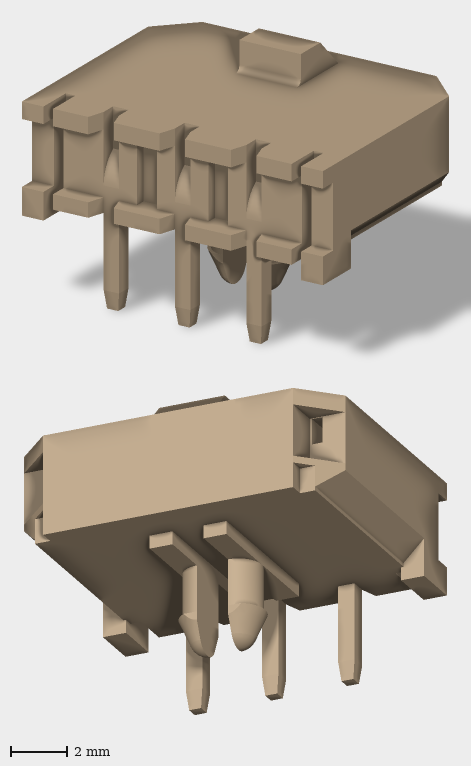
import cadquery as cq
import math


WIDTH = 12.65
DEPTH = 9.9
HALF_WIDTH = WIDTH / 2
CORNER = 1.4
BODY_BOTTOM = -3.87
TOP_FLANGE = 0.67
LOWER_FLANGE_TOP = -3.28
FRONT_FACE = 0.7

FOOT_WIDTH = 0.91
FOOT_DEPTH = 1.9
FOOT_BOTTOM = -4.38
SLOT_WIDTH = 0.4
SLOT_DEPTH = 1.5
CHANNEL_BOTTOM = -1.66

UNDERCUT = 0.81
UNDERCUT_TOP = -2.91

CORNER_RECESS_TOP = -0.65
CORNER_RECESS_BOTTOM = -2.65
CORNER_STEP = 0.6

LATCH_WIDTH = 2.58
LATCH_HEIGHT = 1.2
LATCH_FRONT = 6.58
LATCH_CREST = 7.89
LATCH_FILLET = 0.24

PITCH = 3.0
PIN_SIZE = 0.65
PIN_XS = [-PITCH, 0, PITCH]
PIN_BACK = FRONT_FACE + PIN_SIZE
PIN_TAPER_TOP = -6.83
PIN_BOTTOM = -7.55
PIN_TIP = 0.47
NOTCH_MOUTH = 1.08
BEND_TOP = -1.62
BEND_BOTTOM = -2.82

GROOVE_WIDTH = 0.82
GROOVE_DEPTH = 0.42

PEG_GAP = 1.23
PEG_RADIUS = 0.9
PEG_Y = 5.29
BARB_RADIUS = 1.04
BARB_TOP = -6.17
PEG_TIP_RADIUS = 0.66
PAD_FRONT = 2.16
PAD_BACK = 8.22


def block(x_range, y_range, z_range):
    """Box between the given limits on each axis."""
    (x0, x1), (y0, y1), (z0, z1) = x_range, y_range, z_range
    return cq.Workplane("XY").box(x1 - x0, y1 - y0, z1 - z0, centered=False).translate((x0, y0, z0))


def both_sides(shape):
    """The shape together with its mirror image across the YZ plane."""
    return shape.union(shape.mirror("YZ"))


def make_housing():
    housing = (
        block((-HALF_WIDTH, HALF_WIDTH), (0, DEPTH), (BODY_BOTTOM, 0))
        .edges("|Z and >Y").chamfer(CORNER)
    )
    foot = block((-HALF_WIDTH, FOOT_WIDTH - HALF_WIDTH), (0, FOOT_DEPTH), (FOOT_BOTTOM, 0))
    front_recess = block((-HALF_WIDTH, HALF_WIDTH), (0, FRONT_FACE), (LOWER_FLANGE_TOP, -TOP_FLANGE))
    return housing.union(both_sides(foot)).cut(front_recess)


def make_side_slots():
    """Full-height front slots, each with a channel running back to the rear corner recess."""
    slot_x = (FOOT_WIDTH - HALF_WIDTH, FOOT_WIDTH + SLOT_WIDTH - HALF_WIDTH)
    slot = block(slot_x, (0, SLOT_DEPTH), (BODY_BOTTOM, 0))
    channel = block(slot_x, (SLOT_DEPTH, DEPTH), (CHANNEL_BOTTOM, -TOP_FLANGE))
    return both_sides(slot.union(channel))


def make_undercuts():
    profile = (
        cq.Workplane("XZ", origin=(-HALF_WIDTH, 0, 0))
        .moveTo(0, UNDERCUT_TOP)
        .line(UNDERCUT, -UNDERCUT)
        .lineTo(UNDERCUT, BODY_BOTTOM)
        .lineTo(0, BODY_BOTTOM)
        .close()
    )
    undercut = profile.extrude(-(DEPTH - FOOT_DEPTH)).translate((0, FOOT_DEPTH, 0))
    return both_sides(undercut)


def make_corner_cutouts():
    corner_x = (-HALF_WIDTH, CORNER - HALF_WIDTH)
    recess = block(corner_x, (DEPTH - CORNER, DEPTH), (CORNER_RECESS_BOTTOM, CORNER_RECESS_TOP))
    step = block(corner_x, (DEPTH - CORNER_STEP, DEPTH), (BODY_BOTTOM, UNDERCUT_TOP))
    return both_sides(recess.union(step))


def make_grooves():
    groove_y = (FRONT_FACE, FRONT_FACE + GROOVE_DEPTH)
    groove = block(
        (PITCH / 2 - GROOVE_WIDTH / 2, PITCH / 2 + GROOVE_WIDTH / 2),
        groove_y,
        (LOWER_FLANGE_TOP, -TOP_FLANGE),
    )
    return both_sides(groove)


def make_pin_notch(x):
    """Pin slot through the full height, flared where it crosses the flanges."""
    half_mouth = NOTCH_MOUTH / 2
    half_pin = PIN_SIZE / 2
    outline = [
        (-half_mouth, 0),
        (-half_pin, FRONT_FACE),
        (-half_pin, PIN_BACK),
        (half_pin, PIN_BACK),
        (half_pin, FRONT_FACE),
        (half_mouth, 0),
    ]
    return cq.Workplane("XY").polyline(outline).close().extrude(BODY_BOTTOM).translate((x, 0, 0))


def make_pin(x):
    """Square pin with a rounded outer bend at the top and a tapered tip."""
    rise = BEND_TOP - BEND_BOTTOM
    bend_radius = (PIN_SIZE ** 2 + rise ** 2) / (2 * PIN_SIZE)
    half_angle = math.asin(rise / bend_radius) / 2
    bend_middle = (
        FRONT_FACE + bend_radius * (1 - math.cos(half_angle)),
        BEND_BOTTOM + bend_radius * math.sin(half_angle),
    )
    shank = (
        cq.Workplane("YZ")
        .moveTo(FRONT_FACE, PIN_TAPER_TOP)
        .lineTo(FRONT_FACE, BEND_BOTTOM)
        .threePointArc(bend_middle, (PIN_BACK, BEND_TOP))
        .lineTo(PIN_BACK, PIN_TAPER_TOP)
        .close()
        .extrude(PIN_SIZE / 2, both=True)
    )
    tip = (
        cq.Workplane("XY", origin=(0, FRONT_FACE + PIN_SIZE / 2, PIN_TAPER_TOP))
        .rect(PIN_SIZE, PIN_SIZE)
        .workplane(offset=PIN_BOTTOM - PIN_TAPER_TOP)
        .rect(PIN_TIP, PIN_TIP)
        .loft(ruled=True)
    )
    return shank.union(tip).translate((x, 0, 0))


def make_latch():
    """Ramp on the top face, with a concave fillet at the foot of its front face."""
    fillet_offset = LATCH_FILLET * (1 - math.sqrt(0.5))
    return (
        cq.Workplane("YZ")
        .moveTo(LATCH_FRONT - LATCH_FILLET, 0)
        .threePointArc((LATCH_FRONT - fillet_offset, fillet_offset), (LATCH_FRONT, LATCH_FILLET))
        .lineTo(LATCH_FRONT, LATCH_HEIGHT)
        .lineTo(LATCH_CREST, LATCH_HEIGHT)
        .lineTo(LATCH_CREST + LATCH_HEIGHT, 0)
        .close()
        .extrude(LATCH_WIDTH / 2, both=True)
    )


def make_split_peg():
    """Two half-round legs on flat pads, each ending in a conical barb with a spherical tip."""
    pad = block((0, PEG_RADIUS), (PAD_FRONT, PAD_BACK), (FOOT_BOTTOM, BODY_BOTTOM))

    tip_centre = PIN_BOTTOM + PEG_TIP_RADIUS
    height = BARB_TOP - tip_centre
    rim_distance = math.hypot(BARB_RADIUS, height)
    tangent_angle = math.atan2(height, BARB_RADIUS) - math.acos(PEG_TIP_RADIUS / rim_distance)
    arc_angle = (tangent_angle - math.pi / 2) / 2

    def on_tip(angle):
        return (PEG_TIP_RADIUS * math.cos(angle), tip_centre + PEG_TIP_RADIUS * math.sin(angle))

    barb = (
        cq.Workplane("XZ")
        .moveTo(0, BARB_TOP)
        .lineTo(BARB_RADIUS, BARB_TOP)
        .lineTo(*on_tip(tangent_angle))
        .threePointArc(on_tip(arc_angle), (0, PIN_BOTTOM))
        .close()
        .revolve(360, (0, 0), (0, 1))
    )
    barb = barb.intersect(block((0, BARB_RADIUS), (-PEG_RADIUS, PEG_RADIUS), (PIN_BOTTOM, BARB_TOP)))
    shank = cq.Workplane("XY", origin=(0, 0, BARB_TOP)).circle(PEG_RADIUS).extrude(FOOT_BOTTOM - BARB_TOP)
    shank = shank.intersect(block((0, PEG_RADIUS), (-PEG_RADIUS, PEG_RADIUS), (BARB_TOP, FOOT_BOTTOM)))
    leg = pad.union(shank.union(barb).translate((0, PEG_Y, 0)))
    return both_sides(leg.translate((PEG_GAP / 2, 0, 0)))


result = (
    make_housing()
    .cut(make_side_slots())
    .cut(make_undercuts())
    .cut(make_corner_cutouts())
    .cut(make_grooves())
)
for pin_x in PIN_XS:
    result = result.cut(make_pin_notch(pin_x)).union(make_pin(pin_x))
result = result.union(make_latch()).union(make_split_peg())